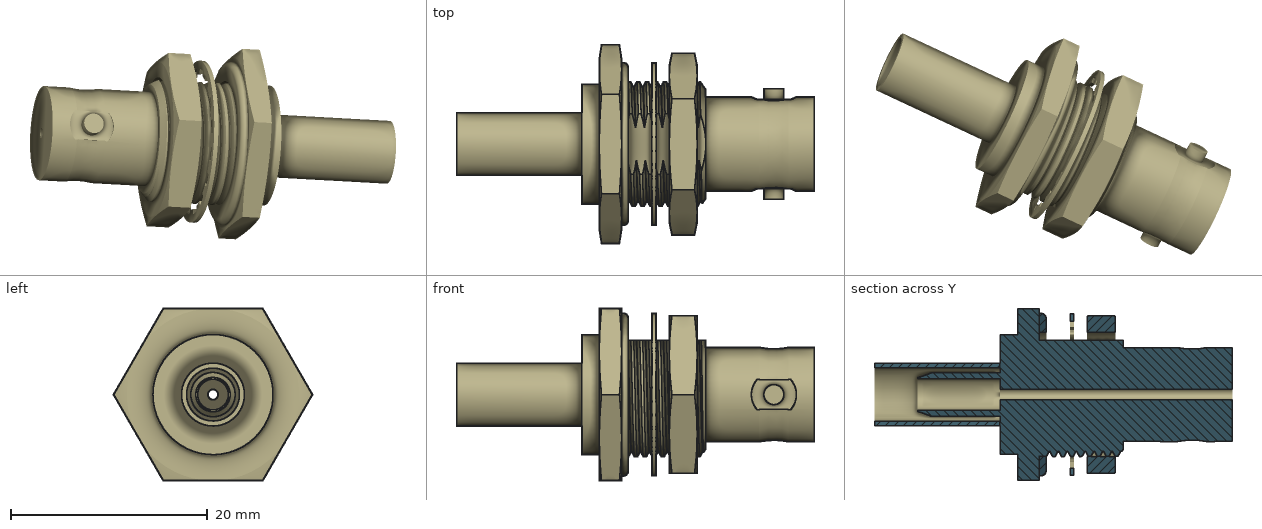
import cadquery as cq
import math


FERRULE_RADIUS = 3.2
FERRULE_BORE_RADIUS = 2.7

STEM_TIP_X = 4.35
STEM_TAPER_LENGTH = 1.45
COLLAR_X = 12.7
HEX_X = 14.5
HEX_END_X = 16.75
THREAD_END_X = 25.28
TOTAL_LENGTH = 36.32

STEM_RADIUS = 2.25
STEM_TIP_RADIUS = 1.75
STEM_BORE_RADIUS = 1.55
CONTACT_HOLE_RADIUS = 0.5
COLLAR_RADIUS = 6.1
BARREL_RADIUS = 4.8
HEX_ACROSS_FLATS = 17.5
HEX_CHAMFER_RADIUS = HEX_ACROSS_FLATS / 2
HEX_CHAMFER_DEPTH = 0.2

THREAD_RADIUS = 6.32
THREAD_PITCH = 0.9
THREAD_DEPTH = 0.55
THREAD_ROOT_WIDTH = 0.05
THREAD_GROOVE_WIDTH = 0.6
THREAD_GROOVE_START_X = 17.07
THREAD_GROOVE_TURNS = 9.5
THREAD_END_RADIUS = 5.55
THREAD_CHAMFER_LENGTH = 0.55
THREAD_FLAT_HEIGHT = 5.52
CUTTER_OVERRUN = 0.1

STUD_X = 32.2
STUD_RADIUS = 1.0
STUD_TIP_Y = 5.63
SPOT_FACE_RADIUS = 2.3
SPOT_FACE_Y = 4.55
STUD_BASE_HALF_HEIGHT = 1.5
GROOVE_HALF_WIDTH = 1.5
GROOVE_DEPTH = 0.15

GASKET_RADIUS = 8.28
GASKET_THICKNESS = 0.7
GASKET_EDGE_RADIUS = 0.55

WASHER_X = 19.83
WASHER_THICKNESS = 0.45
WASHER_RADIUS = 8.25
WASHER_BORE_RADIUS = 6.9
WASHER_SLOT_RADIUS = 7.45
WASHER_TOOTH_COUNT = 16

NUT_X = 21.57
NUT_THICKNESS = 2.87
NUT_ACROSS_FLATS = 16.0
NUT_CHAMFER_RADIUS = 7.88
NUT_CHAMFER_DEPTH = 0.3


def cylinder(x_start, x_end, radius):
    """Round bar along the axis."""
    return cq.Workplane("YZ", origin=(x_start, 0, 0)).circle(radius).extrude(x_end - x_start)


def chamfered_hex(x_start, thickness, across_flats, chamfer_radius, chamfer_depth):
    """Hexagon with flats facing +Z and -Z and corners turned to a cone on both faces."""
    corner_radius = across_flats / math.sqrt(3)
    x_end = x_start + thickness
    prism = (
        cq.Workplane("YZ", origin=(x_start, 0, 0))
        .polygon(6, 2 * corner_radius)
        .extrude(thickness)
    )
    envelope = (
        cq.Workplane("XY")
        .moveTo(x_start, 0)
        .lineTo(x_start, chamfer_radius)
        .lineTo(x_start + chamfer_depth, corner_radius)
        .lineTo(x_end - chamfer_depth, corner_radius)
        .lineTo(x_end, chamfer_radius)
        .lineTo(x_end, 0)
        .close()
        .revolve(360, (0, 0, 0), (1, 0, 0))
    )
    return prism.intersect(envelope)


def make_ferrule():
    """Crimp tube that butts against the collar of the body."""
    return cylinder(0, COLLAR_X, FERRULE_RADIUS).cut(cylinder(0, COLLAR_X, FERRULE_BORE_RADIUS))


def make_thread_groove():
    """Right-handed helical groove of trapezoidal section, ready to cut from a plain bar."""
    root_radius = THREAD_RADIUS - THREAD_DEPTH
    flank_slope = (THREAD_GROOVE_WIDTH - THREAD_ROOT_WIDTH) / 2 / THREAD_DEPTH
    cutter_radius = THREAD_RADIUS + CUTTER_OVERRUN
    cutter_half_width = THREAD_GROOVE_WIDTH / 2 + CUTTER_OVERRUN * flank_slope
    helix = cq.Wire.makeHelix(THREAD_PITCH, THREAD_PITCH * THREAD_GROOVE_TURNS, THREAD_RADIUS)
    groove = (
        cq.Workplane("XZ")
        .moveTo(root_radius, -THREAD_ROOT_WIDTH / 2)
        .lineTo(cutter_radius, -cutter_half_width)
        .lineTo(cutter_radius, cutter_half_width)
        .lineTo(root_radius, THREAD_ROOT_WIDTH / 2)
        .close()
        .sweep(cq.Workplane(helix), isFrenet=True)
    )
    return groove.rotate((0, 0, 0), (1, 1, 1), 120).translate((THREAD_GROOVE_START_X, 0, 0))


def make_threaded_section():
    """Threaded neck with a chamfered end and a flat along its top."""
    threaded_bar = cylinder(HEX_END_X, THREAD_END_X, THREAD_RADIUS).cut(make_thread_groove())
    chamfer_envelope = (
        cq.Workplane("XY")
        .moveTo(HEX_END_X, 0)
        .lineTo(HEX_END_X, THREAD_RADIUS)
        .lineTo(THREAD_END_X - THREAD_CHAMFER_LENGTH, THREAD_RADIUS)
        .lineTo(THREAD_END_X, THREAD_END_RADIUS)
        .lineTo(THREAD_END_X, 0)
        .close()
        .revolve(360, (0, 0, 0), (1, 0, 0))
    )
    flat_cutter = (
        cq.Workplane("XY", origin=(0, 0, THREAD_FLAT_HEIGHT))
        .rect(2 * TOTAL_LENGTH, 2 * THREAD_RADIUS)
        .extrude(THREAD_RADIUS)
    )
    return threaded_bar.intersect(chamfer_envelope).cut(flat_cutter)


def make_stem():
    """Hollow stem inside the ferrule, tapered towards its tip."""
    return (
        cq.Workplane("XY")
        .moveTo(STEM_TIP_X, STEM_BORE_RADIUS)
        .lineTo(STEM_TIP_X, STEM_TIP_RADIUS)
        .lineTo(STEM_TIP_X + STEM_TAPER_LENGTH, STEM_RADIUS)
        .lineTo(COLLAR_X, STEM_RADIUS)
        .lineTo(COLLAR_X, STEM_BORE_RADIUS)
        .close()
        .revolve(360, (0, 0, 0), (1, 0, 0))
    )


def make_barrel():
    """Mating barrel with its shallow round groove, spot faces and bayonet studs."""
    barrel = (
        cq.Workplane("XY")
        .moveTo(THREAD_END_X, 0)
        .lineTo(THREAD_END_X, BARREL_RADIUS)
        .lineTo(STUD_X - GROOVE_HALF_WIDTH, BARREL_RADIUS)
        .threePointArc(
            (STUD_X, BARREL_RADIUS - GROOVE_DEPTH),
            (STUD_X + GROOVE_HALF_WIDTH, BARREL_RADIUS),
        )
        .lineTo(TOTAL_LENGTH, BARREL_RADIUS)
        .lineTo(TOTAL_LENGTH, 0)
        .close()
        .revolve(360, (0, 0, 0), (1, 0, 0))
    )
    for side in (-1, 1):
        spot_face = cq.Workplane("XZ", origin=(STUD_X, side * SPOT_FACE_Y, 0))
        barrel = barrel.cut(spot_face.circle(SPOT_FACE_RADIUS).extrude(-side * BARREL_RADIUS))
    stud_base = (
        cq.Workplane("XZ", origin=(STUD_X, 0, 0))
        .circle(SPOT_FACE_RADIUS)
        .extrude(SPOT_FACE_Y, both=True)
        .intersect(cq.Workplane("XY").box(2 * TOTAL_LENGTH, 2 * STUD_TIP_Y, 2 * STUD_BASE_HALF_HEIGHT))
    )
    studs = (
        cq.Workplane("XZ", origin=(STUD_X, 0, 0))
        .circle(STUD_RADIUS)
        .extrude(STUD_TIP_Y, both=True)
    )
    return barrel.union(stud_base).union(studs)


def make_body():
    """Stem, collar, hex flange, thread and barrel in one piece with a hole right through."""
    hex_flange = chamfered_hex(
        HEX_X, HEX_END_X - HEX_X, HEX_ACROSS_FLATS, HEX_CHAMFER_RADIUS, HEX_CHAMFER_DEPTH
    )
    return (
        cylinder(COLLAR_X, HEX_X, COLLAR_RADIUS)
        .union(make_stem())
        .union(hex_flange)
        .union(make_threaded_section())
        .union(make_barrel())
        .cut(cylinder(0, TOTAL_LENGTH, CONTACT_HOLE_RADIUS))
    )


def make_gasket():
    """Sealing ring with its outer edge rounded on the side away from the flange."""
    gasket_end_x = HEX_END_X + GASKET_THICKNESS
    disc = cylinder(HEX_END_X, gasket_end_x, GASKET_RADIUS).faces(">X").edges()
    return disc.fillet(GASKET_EDGE_RADIUS).cut(cylinder(HEX_END_X, gasket_end_x, THREAD_RADIUS))


def make_washer():
    """Flat ring with evenly spaced slots that leave teeth around its bore."""
    washer_end_x = WASHER_X + WASHER_THICKNESS
    slot_angle = 360 / WASHER_TOOTH_COUNT / 2
    slot_cylinder = cylinder(WASHER_X, washer_end_x, WASHER_SLOT_RADIUS)
    reach = 2 * WASHER_SLOT_RADIUS
    half_spread = reach * math.tan(math.radians(slot_angle / 2))
    wedge = (
        cq.Workplane("YZ", origin=(WASHER_X, 0, 0))
        .polyline([(0, 0), (reach, -half_spread), (reach, half_spread)])
        .close()
        .extrude(WASHER_THICKNESS)
    )
    slot = wedge.intersect(slot_cylinder)
    washer = cylinder(WASHER_X, washer_end_x, WASHER_RADIUS)
    washer = washer.cut(cylinder(WASHER_X, washer_end_x, WASHER_BORE_RADIUS))
    for index in range(WASHER_TOOTH_COUNT):
        washer = washer.cut(slot.rotate((0, 0, 0), (1, 0, 0), index * 360 / WASHER_TOOTH_COUNT))
    return washer


def make_nut():
    """Hex nut bored to the crest of the thread."""
    nut = chamfered_hex(
        NUT_X, NUT_THICKNESS, NUT_ACROSS_FLATS, NUT_CHAMFER_RADIUS, NUT_CHAMFER_DEPTH
    )
    return nut.cut(cylinder(NUT_X, NUT_X + NUT_THICKNESS, THREAD_RADIUS))


ferrule = make_ferrule()
body = make_body()
gasket = make_gasket()
washer = make_washer()
nut = make_nut()

result = cq.Compound.makeCompound([ferrule.val(), body.val(), gasket.val(), washer.val(), nut.val()])